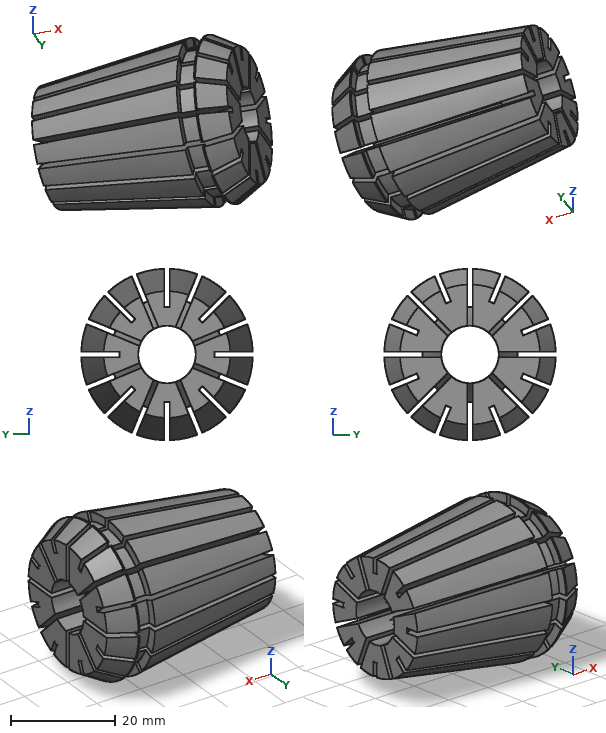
import cadquery as cq
import math

length = 40.0
max_radius = 16.505
bore_radius = 5.5

taper_length = 30.9
taper_half_angle = 8.0

groove_radius = 14.6
groove_width = 3.5
land_width = 0.3
nose_half_angle = 30.0

slot_count = 8
slot_width = 1.0
slot_pitch = 360.0 / slot_count
rear_slot_angle = 0.0
front_slot_angle = slot_pitch / 2

rear_slot_end_radius = 9.15
rear_slot_runout = 8.4
front_slot_end_radius = 10.85
front_slot_runout = 7.6
runout_arc_radius = 35.0

clearance = 2.0


def drop(axial_length, half_angle):
    """Radius lost along a taper."""
    return axial_length * math.tan(math.radians(half_angle))


def make_body():
    groove_end = taper_length + groove_width
    land_end = groove_end + land_width
    small_end_radius = max_radius - drop(taper_length, taper_half_angle)
    nose_end_radius = max_radius - drop(length - land_end, nose_half_angle)
    return (
        cq.Workplane("XY")
        .moveTo(0, bore_radius)
        .lineTo(0, small_end_radius)
        .lineTo(taper_length, max_radius)
        .lineTo(taper_length, groove_radius)
        .lineTo(groove_end, groove_radius)
        .lineTo(groove_end, max_radius)
        .lineTo(land_end, max_radius)
        .lineTo(length, nose_end_radius)
        .lineTo(length, bore_radius)
        .close()
        .revolve(360, (0, 0, 0), (1, 0, 0))
    )


def make_slot_cutter(open_x, closed_x, end_radius, runout):
    """Saw cut open to the bore at open_x, its floor rising along an arc to end_radius at closed_x."""
    outward = math.copysign(1, closed_x - open_x)
    floor_start_x = closed_x - outward * runout
    outer_radius = max_radius + clearance
    return (
        cq.Workplane("XY")
        .moveTo(open_x, 0)
        .lineTo(floor_start_x, 0)
        .lineTo(floor_start_x, bore_radius)
        .radiusArc((closed_x, end_radius), -outward * runout_arc_radius)
        .lineTo(closed_x, outer_radius)
        .lineTo(open_x, outer_radius)
        .close()
        .extrude(slot_width / 2, both=True)
    )


def cut_slots(body, cutter, first_angle):
    for index in range(slot_count):
        angle = first_angle + index * slot_pitch
        body = body.cut(cutter.rotate((0, 0, 0), (1, 0, 0), angle))
    return body


rear_cutter = make_slot_cutter(length, 0, rear_slot_end_radius, rear_slot_runout)
front_cutter = make_slot_cutter(0, length, front_slot_end_radius, front_slot_runout)

result = make_body()
result = cut_slots(result, rear_cutter, rear_slot_angle)
result = cut_slots(result, front_cutter, front_slot_angle)